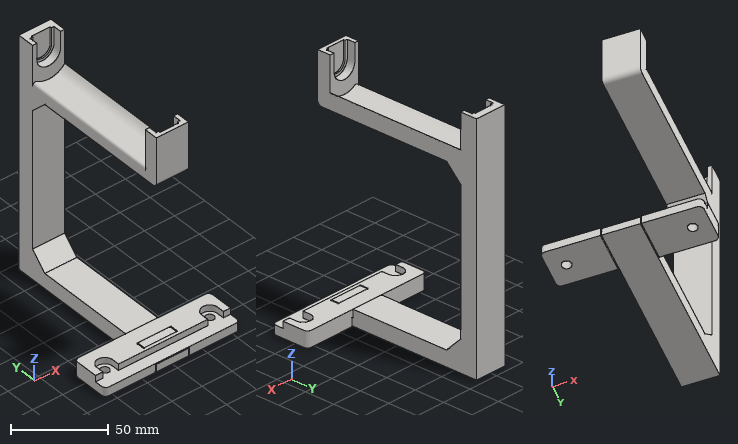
import cadquery as cq
import math

hanger_width = 21.5
hanger_depth = 112.0
hanger_height = 152.5
post_thickness = 11.3
tip_thickness = 9.0
leg_thickness = 10.0
gusset_size = 9.9
arm_underside_z = 120.0
tip_corner_radius = 2.9
post_face_y = hanger_depth - post_thickness

trough_radius = 13.9
trough_bottom_z = 125.4
trough_lip_radius = 2.0

pocket_center_z = 142.0
pocket_radius = 8.0
pocket_depth = 5.3
inner_pocket_radius = 6.3
inner_pocket_depth = 6.4

base_length = 90.0
base_depth = 25.0
base_height = leg_thickness
base_corner_radius = 2.9
ledge_depth = 7.6
ledge_z = 6.0
screw_spacing = 69.8
screw_y = 12.4
screw_hole_diameter = 5.5
screw_head_radius = 5.2

tongue_thickness = 5.2
key_depth = 5.3
key_center_y = 12.5
side_clearance = 0.6
channel_width = hanger_width + 2 * side_clearance


def block(width, y_start, y_end, z_start, z_end):
    """Box centered on X between the given Y and Z limits."""
    return (
        cq.Workplane("XY")
        .box(width, y_end - y_start, z_end - z_start, centered=(True, False, False))
        .translate((0, y_start, z_start))
    )


def make_frame():
    """C-shaped side profile, extruded across the hanger width."""
    return (
        cq.Workplane("YZ")
        .moveTo(base_depth, 0)
        .lineTo(hanger_depth, 0)
        .lineTo(hanger_depth, hanger_height)
        .lineTo(0, hanger_height)
        .lineTo(0, arm_underside_z)
        .lineTo(post_face_y - gusset_size, arm_underside_z)
        .lineTo(post_face_y, arm_underside_z - gusset_size)
        .lineTo(post_face_y, leg_thickness + gusset_size)
        .lineTo(post_face_y - gusset_size, leg_thickness)
        .lineTo(base_depth, leg_thickness)
        .close()
        .extrude(hanger_width / 2, both=True)
        .edges(cq.selectors.NearestToPointSelector((0, 0, arm_underside_z)))
        .fillet(tip_corner_radius)
    )


def make_trough_space():
    """Space between the end plates, with a round bottom and a rounded-over lip on the -X side."""
    center_z = trough_bottom_z + trough_radius
    half_width = hanger_width / 2
    lip_x = -half_width + trough_lip_radius
    center_distance = trough_radius + trough_lip_radius
    lip_z = center_z - math.sqrt(center_distance**2 - lip_x**2)
    touch_angle = math.atan2(center_z - lip_z, -lip_x)
    middle_angle = (math.pi + touch_angle) / 2

    def lip_point(angle):
        return (lip_x + trough_lip_radius * math.cos(angle), lip_z + trough_lip_radius * math.sin(angle))

    rim_z = center_z - math.sqrt(trough_radius**2 - half_width**2)
    return (
        cq.Workplane("XZ", origin=(0, post_face_y, 0))
        .moveTo(-half_width, hanger_height)
        .lineTo(-half_width, lip_z)
        .threePointArc(lip_point(middle_angle), lip_point(touch_angle))
        .threePointArc((0, trough_bottom_z), (half_width, rim_z))
        .lineTo(half_width, hanger_height)
        .close()
        .extrude(post_face_y - tip_thickness)
    )


def make_pocket(radius, depth):
    """U-shaped cutter reaching the same depth into both end plates."""
    y_start = tip_thickness - depth
    y_end = post_face_y + depth
    round_bottom = (
        cq.Workplane("XZ", origin=(0, y_end, 0))
        .center(0, pocket_center_z)
        .circle(radius)
        .extrude(y_end - y_start)
    )
    return round_bottom.union(block(2 * radius, y_start, y_end, pocket_center_z, hanger_height))


def make_key(width, z_start):
    """Upright key, from the given height to the top of the base bar."""
    half_depth = key_depth / 2
    return block(width, key_center_y - half_depth, key_center_y + half_depth, z_start, base_height)


def make_hanger():
    frame = make_frame().cut(make_trough_space())
    frame = frame.cut(make_pocket(pocket_radius, pocket_depth))
    frame = frame.cut(make_pocket(inner_pocket_radius, inner_pocket_depth))
    tongue = block(hanger_width, 0, base_depth, 0, tongue_thickness)
    return frame.union(tongue).union(make_key(hanger_width, 0))


def make_base():
    base = block(base_length, 0, base_depth, 0, base_height).edges("|Z").fillet(base_corner_radius)
    base = base.cut(block(base_length, 0, ledge_depth, ledge_z, base_height))
    base = base.cut(block(channel_width, 0, base_depth, 0, tongue_thickness))
    base = base.cut(make_key(channel_width, 0))
    for screw_x in (-screw_spacing / 2, screw_spacing / 2):
        hole = cq.Workplane("XY").center(screw_x, screw_y).circle(screw_hole_diameter / 2).extrude(base_height)
        head = (
            cq.Workplane("XY", origin=(0, 0, ledge_z))
            .center(screw_x, screw_y)
            .circle(screw_head_radius)
            .extrude(base_height - ledge_z)
        )
        entry = block(2 * screw_head_radius, 0, screw_y, ledge_z, base_height).translate((screw_x, 0, 0))
        base = base.cut(hole).cut(head).cut(entry)
    return base


hanger = make_hanger()
base_bar = make_base()

result = cq.Compound.makeCompound([hanger.solids().val(), base_bar.solids().val()])